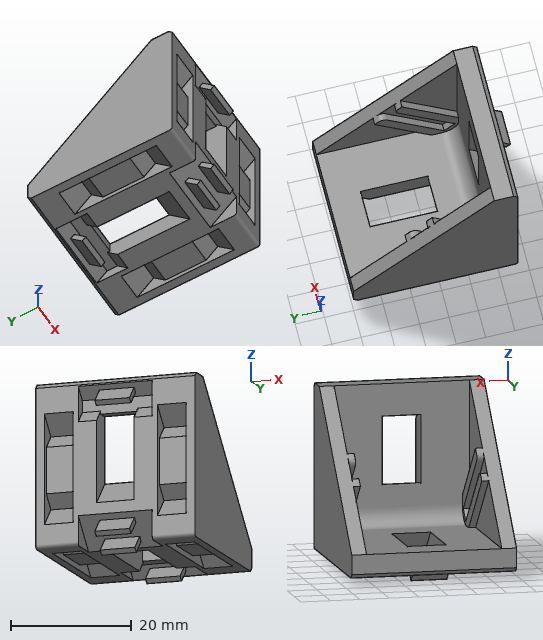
import cadquery as cq
import math


SIZE = 28.0
LEG = 4.0
WALL = 2.5
END_CHAMFER = 0.7
CORNER_RADIUS = 0.6
INNER_RADIUS = 3.0

RIB_THICKNESS = 1.18
RIB_WIDTH = 6.58
SLOT_WIDTH = 2.6
SLOT_DEPTH = 14.75
SLOT_LIP_RADIUS = 1.0

WINDOW_WIDTH = 6.55
WINDOW_START = 7.05
WINDOW_END = 22.52

POCKET_EDGE = 1.53
POCKET_WIDTH = 5.05
POCKET_END = 22.85
POCKET_DEPTH = 3.22
PAD_RISE = 2.25

RECESS_WIDTH = 13.0
RECESS_START = 21.05
RECESS_END = 27.05
RECESS_DEPTH = 2.0
CORNER_CUT = 5.08
TAB_WIDTH = 6.1
TAB_THICKNESS = 1.0
TAB_REACH = 1.5
TAB_ROOT = 0.6
END_TAB_POSITION = 25.59
CORNER_TAB_POSITION = 3.33

CUT_OVERLAP = 0.3
SLOPE_SUM = SIZE + LEG


def mirrored(points):
    """Reflect (y, z) points about the plane y = z."""
    return [(z, y) for y, z in points]


def prism(points, width, x_center=0):
    """Extrude a (y, z) polygon along X, centred on x_center."""
    outline = cq.Workplane("YZ", origin=(x_center, 0, 0)).polyline(points).close()
    return outline.extrude(width / 2, both=True)


def leg_pair(points, width, x_center=0):
    """The same prism on the front leg and, mirrored, on the base leg."""
    return prism(points, width, x_center).union(prism(mirrored(points), width, x_center))


def diagonal_point(along, across):
    """(y, z) of a point given along the corner bisector and across it."""
    return ((along - across) / math.sqrt(2), (along + across) / math.sqrt(2))


def make_body():
    half_outline = [
        (0, SIZE - END_CHAMFER),
        (END_CHAMFER, SIZE),
        (LEG, SIZE),
    ]
    body = prism([(0, 0)] + half_outline + mirrored(half_outline)[::-1], SIZE)
    body = body.edges(cq.selectors.NearestToPointSelector((0, 0, 0))).fillet(CORNER_RADIUS)

    cavity_end = SIZE + CUT_OVERLAP
    cavity = prism(
        [(LEG, LEG), (LEG, cavity_end), (cavity_end, cavity_end), (cavity_end, LEG)],
        SIZE - 2 * WALL,
    )
    inner_edge = cq.selectors.NearestToPointSelector((0, LEG, LEG))
    return body.cut(cavity.edges(inner_edge).fillet(INNER_RADIUS))


def make_rib(side):
    slope = SLOPE_SUM / math.sqrt(2)
    half_rib = RIB_WIDTH / 2
    half_slot = SLOT_WIDTH / 2
    half_mouth = half_slot + SLOT_LIP_RADIUS
    lip_start = slope - SLOT_LIP_RADIUS
    lip_mid = SLOT_LIP_RADIUS * (1 - math.sqrt(0.5))
    outline = (
        cq.Workplane("YZ", origin=(side * (SIZE / 2 - WALL - RIB_THICKNESS / 2), 0, 0))
        .moveTo(*diagonal_point(LEG, -half_rib))
        .lineTo(*diagonal_point(slope, -half_rib))
        .lineTo(*diagonal_point(slope, -half_mouth))
        .threePointArc(
            diagonal_point(slope - lip_mid, -half_slot - lip_mid),
            diagonal_point(lip_start, -half_slot),
        )
        .lineTo(*diagonal_point(slope - SLOT_DEPTH, -half_slot))
        .lineTo(*diagonal_point(slope - SLOT_DEPTH, half_slot))
        .lineTo(*diagonal_point(lip_start, half_slot))
        .threePointArc(
            diagonal_point(slope - lip_mid, half_slot + lip_mid),
            diagonal_point(slope, half_mouth),
        )
        .lineTo(*diagonal_point(slope, half_rib))
        .lineTo(*diagonal_point(LEG, half_rib))
        .close()
    )
    return outline.extrude(RIB_THICKNESS / 2, both=True)


def make_windows():
    recess_floor_start = RECESS_START + RECESS_DEPTH
    depth = LEG + CUT_OVERLAP
    points = [
        (-CUT_OVERLAP, WINDOW_START - CUT_OVERLAP),
        (depth, WINDOW_START + depth),
        (depth, WINDOW_END),
        (RECESS_DEPTH, WINDOW_END),
        (RECESS_DEPTH, recess_floor_start),
        (-CUT_OVERLAP, recess_floor_start),
    ]
    return leg_pair(points, WINDOW_WIDTH)


def make_pockets(side):
    pad_depth = POCKET_DEPTH - PAD_RISE
    points = [
        (0, LEG),
        (POCKET_DEPTH, LEG + POCKET_DEPTH),
        (pad_depth, LEG + POCKET_DEPTH + PAD_RISE),
        (pad_depth, POCKET_END - POCKET_DEPTH - PAD_RISE),
        (POCKET_DEPTH, POCKET_END - POCKET_DEPTH),
        (0, POCKET_END),
    ]
    return leg_pair(points, POCKET_WIDTH, side * (SIZE / 2 - POCKET_EDGE - POCKET_WIDTH / 2))


def make_recesses():
    points = [
        (0, RECESS_START),
        (RECESS_DEPTH, RECESS_START + RECESS_DEPTH),
        (RECESS_DEPTH, RECESS_END - RECESS_DEPTH),
        (0, RECESS_END),
    ]
    corner = prism([(0, 0), (0, CORNER_CUT), (CORNER_CUT, 0)], RECESS_WIDTH)
    return leg_pair(points, RECESS_WIDTH).union(corner)


def make_tabs(position, bevel_end):
    """45 degree tabs whose outer face meets the mounting plane at position."""
    root = (bevel_end - position) / 2 + TAB_ROOT
    offset = TAB_THICKNESS * math.sqrt(2)
    thickness_step = offset / 2
    points = [
        (-TAB_REACH, position - TAB_REACH),
        (root, position + root),
        (root + thickness_step, position + root - thickness_step),
        (thickness_step - TAB_REACH, position - TAB_REACH - thickness_step),
    ]
    return leg_pair(points, TAB_WIDTH)


result = make_body()
for side in (-1, 1):
    result = result.union(make_rib(side)).cut(make_pockets(side))
result = result.cut(make_recesses()).cut(make_windows())
result = result.union(make_tabs(END_TAB_POSITION, RECESS_END))
result = result.union(make_tabs(CORNER_TAB_POSITION, CORNER_CUT))